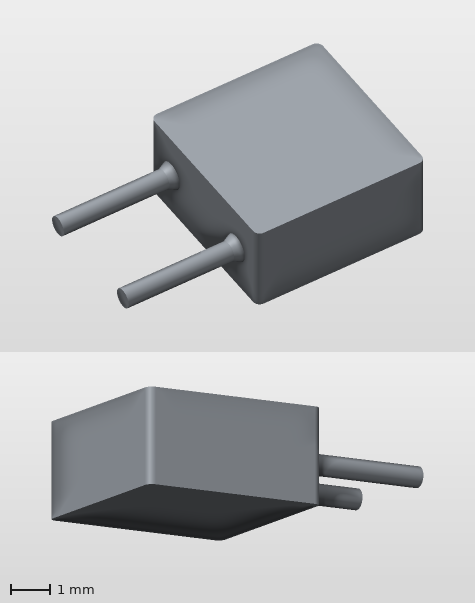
import cadquery as cq

total_length = 8.49
housing_side = 5.08
housing_height = 2.54
corner_radius = 0.195

lead_diameter = 0.56
lead_pitch = 3.08
collar_base_diameter = 0.8
collar_length = 0.24

housing_front_y = -housing_side / 2
collar_tip_y = housing_front_y - collar_length
lead_length = total_length - housing_side - collar_length
lead_positions_x = [-lead_pitch / 2, lead_pitch / 2]


def make_collar(x):
    """Conical collar that narrows from the housing front to the lead diameter."""
    return cq.Workplane(
        cq.Solid.makeCone(
            collar_base_diameter / 2,
            lead_diameter / 2,
            collar_length,
            pnt=cq.Vector(x, housing_front_y, 0),
            dir=cq.Vector(0, -1, 0),
        )
    )


def make_housing():
    """Square block with rounded vertical edges and one collar per lead."""
    block = cq.Workplane("XY").box(housing_side, housing_side, housing_height)
    block = block.edges("|Z").fillet(corner_radius)
    for x in lead_positions_x:
        block = block.union(make_collar(x))
    return block


def make_lead(x):
    """Straight round lead that starts on the tip of its collar."""
    return cq.Solid.makeCylinder(
        lead_diameter / 2,
        lead_length,
        pnt=cq.Vector(x, collar_tip_y, 0),
        dir=cq.Vector(0, -1, 0),
    )


housing = make_housing()
leads = [make_lead(x) for x in lead_positions_x]

result = cq.Compound.makeCompound([housing.val(), *leads])